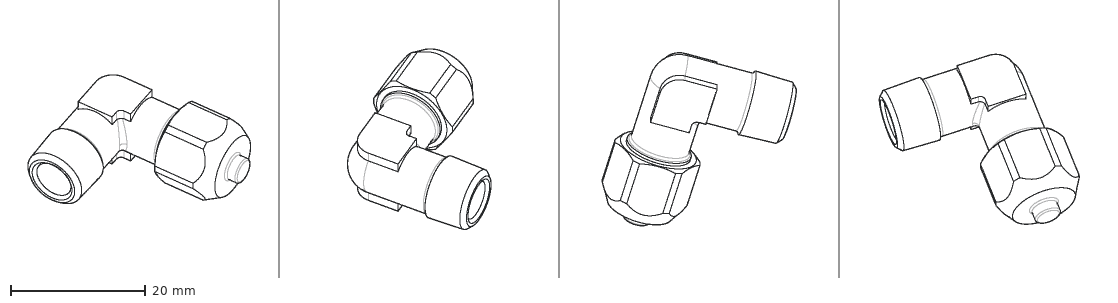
import cadquery as cq
import math

pipe_radius = 4.5

shoulder_fillet = 0.5

thread_neck = 10.0
leg_length = 17.0
thread_radius = 4.93
thread_taper = 1 / 32
lead_chamfer = 0.75
bore_radius = 3.0
bore_chamfer = 0.5
drill_point_angle = 118.0

crotch_fillet = 0.8
plate_half_thickness = 5.0
plate_inset = 3.0
plate_reach = 5.0

collar_radius = 5.0
collar_start = 10.65
collar_cone_angle = 60.0
nut_start = 11.1
nut_end = 21.1
nut_across_flats = 12.0
nut_corner_radius = 6.62
nut_back_radius = 5.9
nut_front_radius = 5.0
nut_chamfer_angle = 30.0
tube_radius = 2.0
tube_end = 23.0
tube_edge_fillet = 0.25
tube_root_fillet = 0.3


def turned_on_x(profile):
    """Revolve a closed outline of (x, radius) about the X axis."""
    return profile.close().revolve(360, (0, 0, 0), (1, 0, 0))


def turned_on_y(profile):
    """Revolve a closed outline of (distance along -Y, radius) about the X axis, then turn it onto -Y."""
    return turned_on_x(profile).rotate((0, 0, 0), (0, 0, 1), -90)


def outline(points):
    """Open outline through (distance along the axis, radius) points."""
    return cq.Workplane("XY").polyline(points)


def root_arc(start, end_angle):
    """Middle and end points of a concave arc that leaves the pipe surface tangentially at start."""
    angles = [math.radians(end_angle / 2), math.radians(end_angle)]
    return [
        (
            start + shoulder_fillet * math.sin(angle),
            pipe_radius + shoulder_fillet * (1 - math.cos(angle)),
        )
        for angle in angles
    ]


def make_elbow():
    """Two pipes joined by a ball, with a fillet along the inner corner."""
    nut_pipe = cq.Workplane("YZ").circle(pipe_radius).extrude(nut_start)
    thread_pipe = cq.Workplane("XZ").circle(pipe_radius).extrude(thread_neck)
    pipes = nut_pipe.union(thread_pipe)
    crotch = cq.selectors.BoxSelector(
        (0, 0, -pipe_radius), (pipe_radius, -pipe_radius, pipe_radius)
    )
    pipes = pipes.edges(crotch).fillet(crotch_fillet)
    return pipes.union(cq.Workplane("XY").sphere(pipe_radius))


def make_plates():
    """Wrench pads above and below the elbow, made as one block that runs through the pipes."""
    arc_middle = plate_inset * math.sqrt(0.5)
    block = (
        cq.Workplane("XY", origin=(0, 0, -plate_half_thickness))
        .moveTo(-plate_inset, 0)
        .threePointArc((-arc_middle, arc_middle), (0, plate_inset))
        .lineTo(plate_reach, plate_inset)
        .lineTo(plate_reach, -plate_inset)
        .lineTo(plate_inset, -plate_inset)
        .lineTo(plate_inset, -plate_reach)
        .lineTo(-plate_inset, -plate_reach)
        .close()
        .extrude(2 * plate_half_thickness)
    )
    notch_corner = cq.selectors.NearestToPointSelector((plate_inset, -plate_inset, 0))
    return block.edges("|Z").edges(notch_corner).fillet(crotch_fillet)


def make_thread():
    """Tapered thread envelope with a hollow shoulder and a chamfered lead."""
    rise = thread_radius - pipe_radius
    shoulder_angle = math.acos(1 - rise / shoulder_fillet)
    thread_start = thread_neck + shoulder_fillet * math.sin(shoulder_angle)
    lead_start = leg_length - lead_chamfer
    lead_radius = thread_radius - thread_taper * (lead_start - thread_start)
    return turned_on_y(
        outline([(thread_neck, 0), (thread_neck, pipe_radius)])
        .threePointArc(*root_arc(thread_neck, math.degrees(shoulder_angle)))
        .lineTo(lead_start, lead_radius)
        .lineTo(leg_length, lead_radius - lead_chamfer)
        .lineTo(leg_length, 0)
    )


def make_bore():
    """Blind drilled hole whose point ends on the nut axis, with a chamfered mouth."""
    point_length = bore_radius / math.tan(math.radians(drill_point_angle / 2))
    return turned_on_y(outline([
        (0, 0),
        (point_length, bore_radius),
        (leg_length - bore_chamfer, bore_radius),
        (leg_length, bore_radius + bore_chamfer),
        (leg_length, 0),
    ]))


def make_collar():
    """Collar behind the nut, rising from the pipe through a fillet and a cone."""
    angle = math.radians(collar_cone_angle)
    cone_rise = collar_radius - pipe_radius - shoulder_fillet * (1 - math.cos(angle))
    flare_start = collar_start - cone_rise / math.tan(angle) - shoulder_fillet * math.sin(angle)
    return turned_on_x(
        outline([(flare_start, 0), (flare_start, pipe_radius)])
        .threePointArc(*root_arc(flare_start, collar_cone_angle))
        .lineTo(collar_start, collar_radius)
        .lineTo(nut_start, collar_radius)
        .lineTo(nut_start, 0)
    )


def make_nut():
    """Hexagon with flats on +Z and -Z, trimmed by a turned envelope."""
    slope = math.tan(math.radians(nut_chamfer_angle))
    back_length = (nut_corner_radius - nut_back_radius) * slope
    front_length = (nut_corner_radius - nut_front_radius) / slope
    envelope = turned_on_x(outline([
        (nut_start, 0),
        (nut_start, nut_back_radius),
        (nut_start + back_length, nut_corner_radius),
        (nut_end - front_length, nut_corner_radius),
        (nut_end, nut_front_radius),
        (nut_end, 0),
    ]))
    hexagon = (
        cq.Workplane("YZ", origin=(nut_start, 0, 0))
        .polygon(6, nut_across_flats, circumscribed=True)
        .extrude(nut_end - nut_start)
        .rotate((0, 0, 0), (1, 0, 0), 90)
    )
    return hexagon.intersect(envelope)


def make_tube():
    """Tube stub with a rounded end and a fillet against the nut."""
    quarter = math.sqrt(0.5)
    root_end = nut_end + tube_root_fillet
    root_top = tube_radius + tube_root_fillet
    edge_start = tube_end - tube_edge_fillet
    edge_center_radius = tube_radius - tube_edge_fillet
    return turned_on_x(
        outline([(nut_end, 0), (nut_end, root_top)])
        .threePointArc(
            (root_end - quarter * tube_root_fillet, root_top - quarter * tube_root_fillet),
            (root_end, tube_radius),
        )
        .lineTo(edge_start, tube_radius)
        .threePointArc(
            (edge_start + quarter * tube_edge_fillet, edge_center_radius + quarter * tube_edge_fillet),
            (tube_end, edge_center_radius),
        )
        .lineTo(tube_end, 0)
    )


result = make_elbow().union(make_plates()).union(make_thread())
result = result.union(make_collar()).union(make_nut()).union(make_tube())
result = result.cut(make_bore())